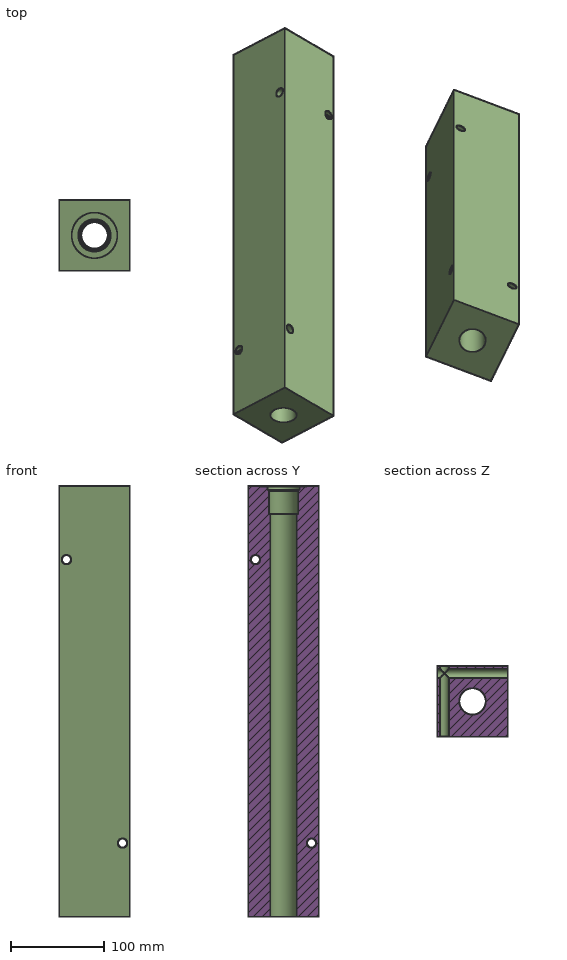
import cadquery as cq
import math

bar_width = 76.2
bar_height = 463.55
top_level = bar_height / 2

spotface_diameter = 49.1
spotface_depth = 1.0
seal_mouth_diameter = 35.05
seal_cone_depth = 3.3
seal_cone_half_angle = 12
port_diameter = 31.0
port_depth = 30.0
drill_point_angle = 118
thread_chamfer_half_angle = 45
bore_diameter = 28.2

cross_hole_diameter = 9.525
cross_hole_chamfer = 0.4
cross_hole_offset = 30.1625
cross_hole_end_distance = 79.375


def make_bar():
    return cq.Workplane("XY").box(bar_width, bar_width, bar_height)


def make_port_and_bore():
    """Revolve half of the port and bore profile about the Z axis."""
    spotface_level = top_level - spotface_depth
    seal_base_level = spotface_level - seal_cone_depth
    seal_base_radius = seal_mouth_diameter / 2 - seal_cone_depth * math.tan(math.radians(seal_cone_half_angle))
    thread_chamfer_width = seal_base_radius - port_diameter / 2
    thread_chamfer_depth = thread_chamfer_width / math.tan(math.radians(thread_chamfer_half_angle))
    port_floor_level = top_level - port_depth
    drill_point_depth = (port_diameter - bore_diameter) / 2 / math.tan(math.radians(drill_point_angle / 2))
    profile = [
        (0, top_level),
        (spotface_diameter / 2, top_level),
        (spotface_diameter / 2, spotface_level),
        (seal_mouth_diameter / 2, spotface_level),
        (seal_base_radius, seal_base_level),
        (port_diameter / 2, seal_base_level - thread_chamfer_depth),
        (port_diameter / 2, port_floor_level),
        (bore_diameter / 2, port_floor_level - drill_point_depth),
        (bore_diameter / 2, -top_level),
        (0, -top_level),
    ]
    return cq.Workplane("XZ").polyline(profile).close().revolve(360, (0, 0, 0), (0, 1, 0))


def make_cross_hole():
    """One hole along Y, widened by a chamfer at both faces."""
    half_width = bar_width / 2
    hole_radius = cross_hole_diameter / 2
    mouth_radius = hole_radius + cross_hole_chamfer
    profile = [
        (0, -half_width),
        (mouth_radius, -half_width),
        (hole_radius, cross_hole_chamfer - half_width),
        (hole_radius, half_width - cross_hole_chamfer),
        (mouth_radius, half_width),
        (0, half_width),
    ]
    return cq.Workplane("XY").polyline(profile).close().revolve(360, (0, 0, 0), (0, 1, 0))


def drill_cross_holes(body):
    hole_level = top_level - cross_hole_end_distance
    for side in (-1, 1):
        along_y = make_cross_hole().translate((side * cross_hole_offset, 0, -side * hole_level))
        along_x = along_y.rotate((0, 0, 0), (0, 0, 1), -90)
        body = body.cut(along_y).cut(along_x)
    return body


result = drill_cross_holes(make_bar().cut(make_port_and_bore()))